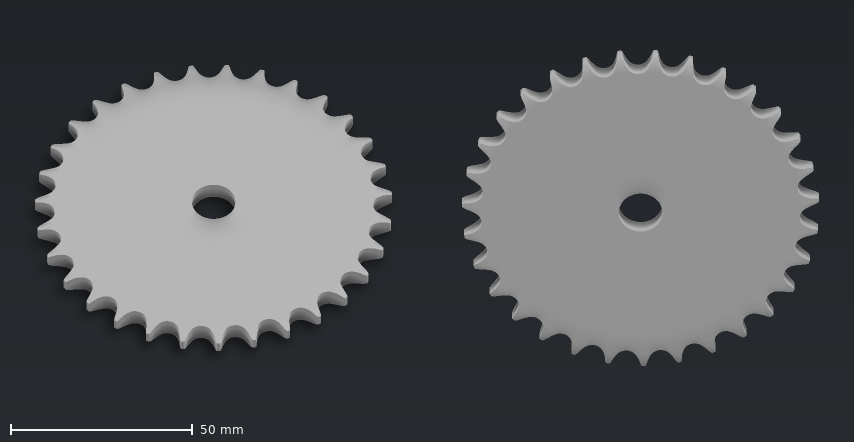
import math

import cadquery as cq

TEETH = 31
CHAIN_PITCH = 9.525
ROLLER_DIAMETER = 6.35
TIP_DIAMETER = 98.3
THICKNESS = 5.3
BORE_DIAMETER = 12.0

SIDE_RADIUS = 10.0
SIDE_RELIEF = 1.0

SEAT_ALLOWANCE = 0.076
SEAT_RADIUS = (1.005 * ROLLER_DIAMETER + SEAT_ALLOWANCE) / 2
SEAT_END_ANGLE = 35 + 60 / TEETH
WORKING_SWEEP = 18 - 56 / TEETH
WORKING_CENTER_DISTANCE = 0.8 * ROLLER_DIAMETER
TOPPING_CENTER_DISTANCE = 1.4 * ROLLER_DIAMETER

TOOTH_ANGLE = 360 / TEETH
TIP_RADIUS = TIP_DIAMETER / 2
HALF_THICKNESS = THICKNESS / 2
PITCH_RADIUS = CHAIN_PITCH / (2 * math.sin(math.pi / TEETH))


def polar(radius, degrees, center=(0, 0)):
    """Point at a radius and angle about a centre."""
    angle = math.radians(degrees)
    return center[0] + radius * math.cos(angle), center[1] + radius * math.sin(angle)


def rotate(point, degrees):
    """Turn a point about the sprocket axis."""
    radius = math.hypot(*point)
    return polar(radius, math.degrees(math.atan2(point[1], point[0])) + degrees)


def mirror(point):
    """Reflect a point across the centreline of a gap that opens along +Y."""
    return -point[0], point[1]


def right_flank():
    """Points of the +X flank of a gap that opens along +Y, from the seat end to the tip."""
    roller_center = (0, PITCH_RADIUS)

    working_center = polar(WORKING_CENTER_DISTANCE, 180 - SEAT_END_ANGLE, roller_center)
    working_radius = WORKING_CENTER_DISTANCE + SEAT_RADIUS
    working_end_angle = WORKING_SWEEP - SEAT_END_ANGLE
    seat_end = polar(working_radius, -SEAT_END_ANGLE, working_center)
    working_mid = polar(working_radius, WORKING_SWEEP / 2 - SEAT_END_ANGLE, working_center)
    working_end = polar(working_radius, working_end_angle, working_center)

    topping_center = polar(TOPPING_CENTER_DISTANCE, -180 / TEETH, roller_center)
    to_center_x = topping_center[0] - working_end[0]
    to_center_y = topping_center[1] - working_end[1]
    normal_x, normal_y = polar(1, working_end_angle)
    topping_radius = to_center_x * normal_x + to_center_y * normal_y
    topping_start = polar(topping_radius, 180 + working_end_angle, topping_center)

    center_distance = math.hypot(*topping_center)
    tip_cosine = center_distance**2 + TIP_RADIUS**2 - topping_radius**2
    tip_cosine /= 2 * center_distance * TIP_RADIUS
    center_angle = math.degrees(math.atan2(topping_center[1], topping_center[0]))
    tip = polar(TIP_RADIUS, center_angle + math.degrees(math.acos(tip_cosine)))
    tip_angle = math.degrees(math.atan2(tip[1] - topping_center[1], tip[0] - topping_center[0]))
    topping_mid_angle = (180 + working_end_angle + tip_angle) / 2
    topping_mid = polar(topping_radius, topping_mid_angle, topping_center)

    return seat_end, working_mid, working_end, topping_start, topping_mid, tip


def make_toothed_blank():
    """Extrude the tooth outline, centred on the XY plane."""
    seat_end, working_mid, working_end, topping_start, topping_mid, tip = right_flank()
    root = (0, PITCH_RADIUS - SEAT_RADIUS)
    tooth_top = rotate((0, TIP_RADIUS), TOOTH_ANGLE / 2)
    next_tip = rotate(tip, TOOTH_ANGLE)

    outline = cq.Workplane("XY").workplane(offset=-HALF_THICKNESS)
    outline = outline.moveTo(*tip)
    for index in range(TEETH):
        turn = index * TOOTH_ANGLE
        outline = (
            outline.threePointArc(rotate(topping_mid, turn), rotate(topping_start, turn))
            .lineTo(*rotate(working_end, turn))
            .threePointArc(rotate(working_mid, turn), rotate(seat_end, turn))
            .threePointArc(rotate(root, turn), rotate(mirror(seat_end), turn))
            .threePointArc(rotate(mirror(working_mid), turn), rotate(mirror(working_end), turn))
            .lineTo(*rotate(mirror(topping_start), turn))
            .threePointArc(rotate(mirror(topping_mid), turn), rotate(mirror(tip), turn))
            .threePointArc(rotate(tooth_top, turn), rotate(next_tip, turn))
        )
    return outline.close().extrude(THICKNESS)


def make_side_envelope():
    """Disc whose rim is rounded on both sides, thinning the teeth toward their tips."""
    relief_width = math.sqrt(SIDE_RADIUS**2 - (SIDE_RADIUS - SIDE_RELIEF) ** 2)
    relief_start = TIP_RADIUS - relief_width
    mid_radius = relief_start + relief_width / 2
    mid_drop = SIDE_RADIUS - math.sqrt(SIDE_RADIUS**2 - (relief_width / 2) ** 2)
    mid_height = HALF_THICKNESS - mid_drop
    rim_height = HALF_THICKNESS - SIDE_RELIEF
    return (
        cq.Workplane("XZ")
        .moveTo(0, -HALF_THICKNESS)
        .lineTo(relief_start, -HALF_THICKNESS)
        .threePointArc((mid_radius, -mid_height), (TIP_RADIUS, -rim_height))
        .lineTo(TIP_RADIUS, rim_height)
        .threePointArc((mid_radius, mid_height), (relief_start, HALF_THICKNESS))
        .lineTo(0, HALF_THICKNESS)
        .close()
        .revolve(360, (0, 0, 0), (0, 1, 0))
    )


def make_bore():
    """Cylinder that fills the central hole."""
    return (
        cq.Workplane("XY")
        .workplane(offset=-HALF_THICKNESS)
        .circle(BORE_DIAMETER / 2)
        .extrude(THICKNESS)
    )


result = make_toothed_blank().intersect(make_side_envelope()).cut(make_bore())